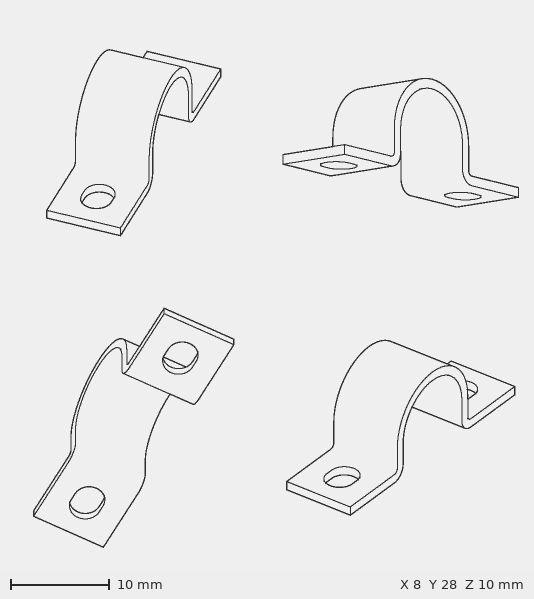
import cadquery as cq

length = 28.0
width = 8.0
height = 10.0
thickness = 1.0
arch_radius = 6.0
bend_inner_radius = 0.5
slot_length = 4.0
slot_width = 3.2
slot_offset = 10.0

half_length = length / 2
arch_inner_radius = arch_radius - thickness
arch_center_z = height - arch_radius
bend_outer_radius = bend_inner_radius + thickness
bend_center_y = arch_radius + bend_inner_radius
bend_center_z = bend_outer_radius


def make_strap():
    """Bent sheet: two flat feet, two upright legs and a half-round arch."""
    profile = (
        cq.Workplane("YZ")
        .moveTo(-half_length, 0)
        .lineTo(-bend_center_y, 0)
        .radiusArc((-arch_inner_radius, bend_center_z), -bend_outer_radius)
        .lineTo(-arch_inner_radius, arch_center_z)
        .threePointArc(
            (0, arch_center_z + arch_inner_radius),
            (arch_inner_radius, arch_center_z),
        )
        .lineTo(arch_inner_radius, bend_center_z)
        .radiusArc((bend_center_y, 0), -bend_outer_radius)
        .lineTo(half_length, 0)
        .lineTo(half_length, thickness)
        .lineTo(bend_center_y, thickness)
        .radiusArc((arch_radius, bend_center_z), bend_inner_radius)
        .lineTo(arch_radius, arch_center_z)
        .threePointArc((0, height), (-arch_radius, arch_center_z))
        .lineTo(-arch_radius, bend_center_z)
        .radiusArc((-bend_center_y, thickness), bend_inner_radius)
        .lineTo(-half_length, thickness)
        .close()
    )
    return profile.extrude(width / 2, both=True)


def make_slots():
    """Cutters for the round-ended screw slot through each foot."""
    return (
        cq.Workplane("XY")
        .pushPoints([(0, -slot_offset), (0, slot_offset)])
        .slot2D(slot_length, slot_width, angle=90)
        .extrude(thickness)
    )


result = make_strap().cut(make_slots())